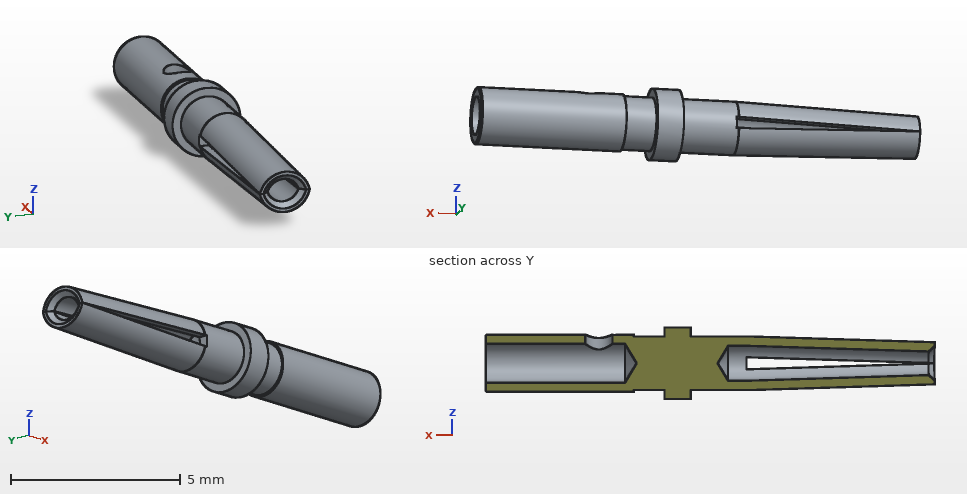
import cadquery as cq
import math

total_length = 13.28
body_diameter = 1.6
body_radius = body_diameter / 2

collar_diameter = 2.12
collar_start = 7.21
collar_width = 0.78
barrel_diameter = 1.7
barrel_start = 8.9
barrel_chamfer = 0.04
wire_bore_diameter = 1.14
wire_bore_start = 9.16
inspection_hole_diameter = 0.8
inspection_hole_x = 9.93

tine_root = 5.48
slot_end = 5.56
slot_height = 0.35
tip_gap = 0.003
pin_bore_diameter = 1.02
pin_bore_end = 6.11
tip_chamfer = 0.17
drill_point_angle = 118.0

tine_angle = math.degrees(math.asin((slot_height - tip_gap) / 2 / tine_root))
tine_length = tine_root / math.cos(math.radians(tine_angle))
tine_tip = tine_root - tine_length


def cylinder(start, end, diameter):
    return cq.Workplane("YZ", origin=(start, 0, 0)).circle(diameter / 2).extrude(end - start)


def drilled_bore(mouth, end, diameter):
    """Bore along X from mouth to end, finished by a conical drill point."""
    radius = diameter / 2
    direction = math.copysign(1, end - mouth)
    point = end + direction * radius / math.tan(math.radians(drill_point_angle / 2))
    profile = cq.Workplane("XZ").polyline([(mouth, 0), (mouth, radius), (end, radius), (point, 0)])
    return profile.close().revolve(360, (0, 0, 0), (1, 0, 0))


def upper_tine():
    """Upper part of a slotted tube, leaning inward about its outer root edge."""
    tine = cylinder(tine_tip, tine_root, body_diameter)
    tine = tine.cut(drilled_bore(tine_tip, pin_bore_end, pin_bore_diameter))
    bore_radius = pin_bore_diameter / 2
    countersink = (
        cq.Workplane("XZ")
        .polyline([(tine_tip, 0), (tine_tip, bore_radius + tip_chamfer),
                   (tine_tip + tip_chamfer, bore_radius), (tine_tip + tip_chamfer, 0)])
        .close()
        .revolve(360, (0, 0, 0), (1, 0, 0))
    )
    above_slot = cq.Workplane("XY", origin=(tine_tip, 0, slot_height / 2)).box(
        tine_length, body_diameter, body_radius, centered=(False, True, False)
    )
    tine = tine.cut(countersink).intersect(above_slot)
    return tine.rotate((tine_root, 0, body_radius), (tine_root, 1, body_radius), -tine_angle)


def rear_body():
    """Solid middle, collar and wire barrel, with the bores and the slot end cut."""
    body = cylinder(tine_root, barrel_start, body_diameter)
    body = body.union(cylinder(collar_start, collar_start + collar_width, collar_diameter))
    barrel = cylinder(barrel_start, total_length, barrel_diameter).faces(">X").chamfer(barrel_chamfer)
    body = body.union(barrel)
    body = body.cut(drilled_bore(tine_root, pin_bore_end, pin_bore_diameter))
    body = body.cut(drilled_bore(total_length, wire_bore_start, wire_bore_diameter))
    inspection_hole = (
        cq.Workplane("XY", origin=(inspection_hole_x, 0, 0))
        .circle(inspection_hole_diameter / 2)
        .extrude(barrel_diameter)
    )
    slot = cq.Workplane("XY", origin=(tine_root, 0, 0)).box(
        slot_end - tine_root, body_diameter, slot_height, centered=(False, True, True)
    )
    return body.cut(inspection_hole).cut(slot)


tine = upper_tine()
result = rear_body().union(tine).union(tine.mirror("XY"))